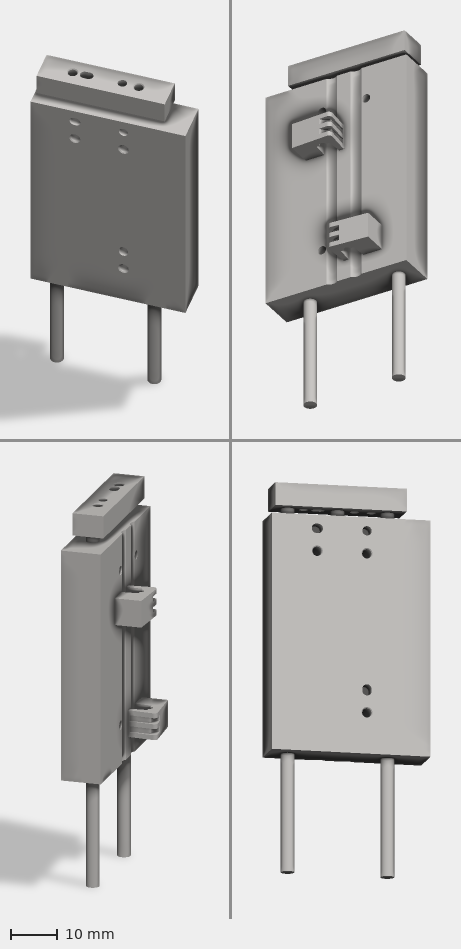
import cadquery as cq


housing_width = 35.0
housing_depth = 9.0
housing_height = 52.0
rod_overhang = 26.0
housing_top = rod_overhang + housing_height
middle_y = housing_depth / 2

total_height = 85.0
rod_diameter = 3.0
rod_spacing = 22.0
plate_inset = 1.0
plate_width = 29.0
plate_depth = housing_depth - 2 * plate_inset
plate_thickness = 5.0
plate_bottom = total_height - plate_thickness
axis_x = plate_inset + plate_width / 2
rod_xs = (axis_x - rod_spacing / 2, axis_x + rod_spacing / 2)

screw_diameter = 2.0
screw_mouth = 2.5
screw_chamfer = (screw_mouth - screw_diameter) / 2
pin_diameter = 2.0
pin_depth = 3.0

left_hole_x = 10.0
right_hole_x = 21.0
screw_drop = 8.0
screw_row_spacing = 35.0
upper_screw_z = housing_top - screw_drop
lower_screw_z = upper_screw_z - screw_row_spacing
pin_rise = 5.0
housing_slot_length = 2.5

plate_screw_spacing = 15.0
plate_slot_x = 11.2
plate_slot_length = 3.0
plate_pin_x = 19.3

groove_diameter = 4.0
groove_depth = 0.5
groove_spacing = 6.0

block_length = 6.0
flat_side = 6.5
flat_side_height = 5.95
tip_reach = 3.5
tip_height = 6.55
tip_radius = 0.85
tip_base_reach = 3.0
foot_reach = 3.15
foot_height = 0.25
upper_block_z = 62.0
lower_block_z = 33.7

opening_base = 3.7
opening_top = 3.15
opening_height = 3.7
opening_crown_diameter = 1.5

grip_groove_count = 2
grip_ridge = 1.1
grip_groove = (block_length - (grip_groove_count + 1) * grip_ridge) / grip_groove_count
grip_floor_reach = 2.7
scoop_diameter = 4.6
scoop_bottom = 4.9


def round_bar(x, diameter, bottom, top):
    """Vertical cylinder on the middle plane of the housing."""
    return cq.Workplane("XY", origin=(x, middle_y, bottom)).circle(diameter / 2).extrude(top - bottom)


def screw_hole(workplane, depth):
    """Hole cutter going down from the workplane origin, with a chamfered mouth."""
    bore = workplane.circle(screw_diameter / 2).extrude(-depth)
    mouth = (
        workplane.circle(screw_mouth / 2)
        .workplane(offset=-screw_chamfer)
        .circle(screw_diameter / 2)
        .loft(combine=True)
    )
    return bore.union(mouth)


def pin_hole(workplane, depth):
    return workplane.circle(pin_diameter / 2).extrude(-depth)


def pin_slot(workplane, length, depth, angle=0):
    return workplane.slot2D(length, pin_diameter, angle).extrude(-depth)


def front_plane(x, z):
    return cq.Workplane("XZ", origin=(x, 0, z))


def plate_plane(x):
    return cq.Workplane("XY", origin=(x, middle_y, total_height))


def make_housing():
    body = cq.Workplane("XY", origin=(0, 0, rod_overhang)).box(
        housing_width, housing_depth, housing_height, centered=False
    )
    for x in rod_xs:
        body = body.cut(round_bar(x, rod_diameter, rod_overhang, housing_top))

    groove_y = housing_depth - groove_depth + groove_diameter / 2
    for side in (-1, 1):
        groove_x = axis_x + side * groove_spacing / 2
        groove = (
            cq.Workplane("XY", origin=(groove_x, groove_y, rod_overhang))
            .circle(groove_diameter / 2)
            .extrude(housing_height)
        )
        body = body.cut(groove)

    for x, z in (
        (left_hole_x, upper_screw_z),
        (right_hole_x, upper_screw_z),
        (right_hole_x, lower_screw_z),
    ):
        body = body.cut(screw_hole(front_plane(x, z), housing_depth))

    upper_pin_z = upper_screw_z + pin_rise
    lower_pin_z = lower_screw_z + pin_rise
    body = body.cut(pin_hole(front_plane(right_hole_x, upper_pin_z), pin_depth))
    body = body.cut(pin_slot(front_plane(left_hole_x, upper_pin_z), housing_slot_length, pin_depth))
    body = body.cut(pin_slot(front_plane(right_hole_x, lower_pin_z), housing_slot_length, pin_depth, 90))
    return body


def make_end_plate():
    """End plate with the short piston rod under its middle."""
    body = cq.Workplane("XY", origin=(plate_inset, plate_inset, plate_bottom)).box(
        plate_width, plate_depth, plate_thickness, centered=False
    )
    body = body.union(round_bar(axis_x, rod_diameter, housing_top, plate_bottom))
    for side in (-1, 1):
        screw_x = axis_x + side * plate_screw_spacing / 2
        body = body.cut(screw_hole(plate_plane(screw_x), plate_thickness))
    body = body.cut(pin_hole(plate_plane(plate_pin_x), plate_thickness))
    body = body.cut(pin_slot(plate_plane(plate_slot_x), plate_slot_length, plate_thickness))
    return body


def make_guide_rod(x):
    return round_bar(x, rod_diameter, 0, plate_bottom)


def make_sensor_block():
    """Sensor block centred in Z, standing on Y = 0 over its groove, with the finger grip toward -X."""
    lower_end = cq.Workplane("XY", origin=(0, 0, -block_length / 2))
    body = (
        lower_end.moveTo(flat_side, 0)
        .lineTo(flat_side, flat_side_height)
        .lineTo(-tip_reach, tip_height)
        .lineTo(-tip_base_reach, foot_height)
        .lineTo(-foot_reach, foot_height)
        .lineTo(-foot_reach, 0)
        .close()
        .extrude(block_length)
    )
    tip_edge = cq.selectors.NearestToPointSelector((-tip_reach, tip_height, 0))
    body = body.edges(tip_edge).fillet(tip_radius)

    opening = (
        lower_end.moveTo(-opening_base / 2, 0)
        .lineTo(-opening_top / 2, opening_height)
        .lineTo(-opening_crown_diameter / 2, opening_height)
        .threePointArc(
            (0, opening_height + opening_crown_diameter / 2),
            (opening_crown_diameter / 2, opening_height),
        )
        .lineTo(opening_top / 2, opening_height)
        .lineTo(opening_base / 2, 0)
        .close()
        .extrude(block_length)
    )
    body = body.cut(opening)

    for index in range(grip_groove_count):
        groove_z = -block_length / 2 + grip_ridge + index * (grip_ridge + grip_groove)
        groove_plane = cq.Workplane("XY", origin=(0, 0, groove_z))
        floor_cut = (
            groove_plane.moveTo(-grip_floor_reach, foot_height)
            .lineTo(-grip_floor_reach, tip_height)
            .lineTo(-2 * tip_reach, tip_height)
            .lineTo(-2 * tip_reach, foot_height)
            .close()
            .extrude(grip_groove)
        )
        scoop = (
            groove_plane.center(-grip_floor_reach, scoop_bottom + scoop_diameter / 2)
            .circle(scoop_diameter / 2)
            .extrude(grip_groove)
        )
        body = body.cut(floor_cut).cut(scoop)
    return body


def place_sensor_block(side, z):
    """Block over the right (side 1) or left (side -1) groove, with its grip toward the piston axis."""
    turn = 0 if side > 0 else 180
    groove_x = axis_x + side * groove_spacing / 2
    block = make_sensor_block().rotate((0, 0, 0), (0, 1, 0), turn)
    return block.translate((groove_x, housing_depth, z))


housing = make_housing()
end_plate = make_end_plate()
guide_rods = [make_guide_rod(x) for x in rod_xs]
sensor_blocks = [
    place_sensor_block(side, z) for side, z in ((1, upper_block_z), (-1, lower_block_z))
]

result = cq.Compound.makeCompound(
    [
        housing.val(),
        end_plate.val(),
        *[rod.val() for rod in guide_rods],
        *[block.val() for block in sensor_blocks],
    ]
)